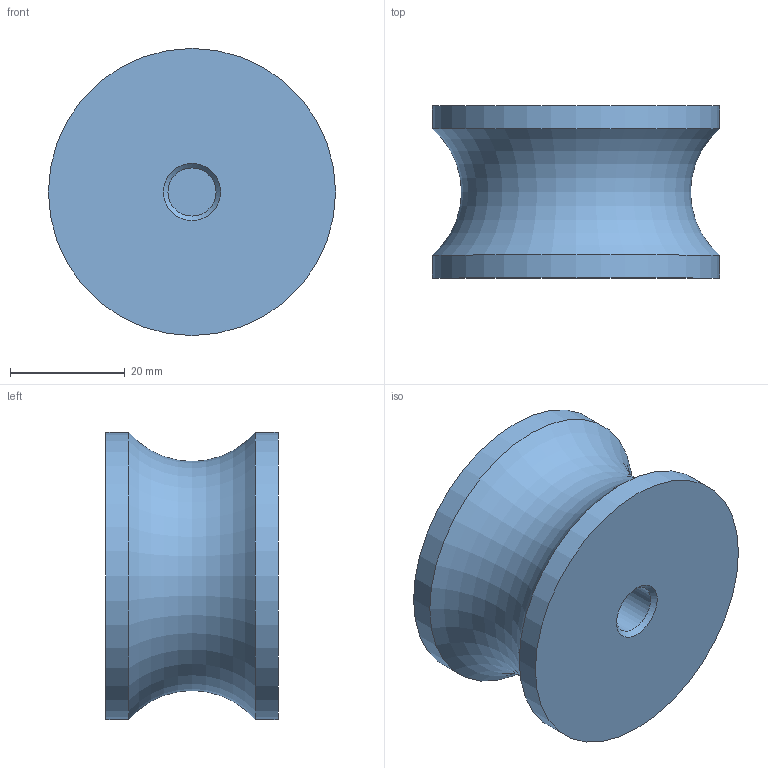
import cadquery as cq
import math

outer_diameter = 50.0
length = 30.0
rim_width = 4.0
groove_radius = 14.5

hole_diameter = 8.38
hole_mouth_diameter = 10.0
hole_depth = 15.0

outer_radius = outer_diameter / 2
half_length = length / 2
groove_half_width = half_length - rim_width
groove_depth = groove_radius - math.sqrt(groove_radius**2 - groove_half_width**2)
waist_radius = outer_radius - groove_depth

hole_radius = hole_diameter / 2
hole_mouth_radius = hole_mouth_diameter / 2
chamfer_depth = hole_mouth_radius - hole_radius


def revolve_about_y(profile):
    """Full turn of a closed XY half-profile about the Y axis."""
    return profile.revolve(360, (0, 0), (0, 1))


def make_roller():
    """Solid roller with a concave circular groove between two rims."""
    profile = (
        cq.Workplane("XY")
        .moveTo(0, -half_length)
        .lineTo(outer_radius, -half_length)
        .lineTo(outer_radius, -groove_half_width)
        .threePointArc((waist_radius, 0), (outer_radius, groove_half_width))
        .lineTo(outer_radius, half_length)
        .lineTo(0, half_length)
        .close()
    )
    return revolve_about_y(profile)


def make_hole():
    """Flat-bottomed blind hole with a chamfered mouth at the -Y face."""
    floor_y = -half_length + hole_depth
    profile = (
        cq.Workplane("XY")
        .moveTo(0, -half_length)
        .lineTo(hole_mouth_radius, -half_length)
        .lineTo(hole_radius, -half_length + chamfer_depth)
        .lineTo(hole_radius, floor_y)
        .lineTo(0, floor_y)
        .close()
    )
    return revolve_about_y(profile)


result = make_roller().cut(make_hole())